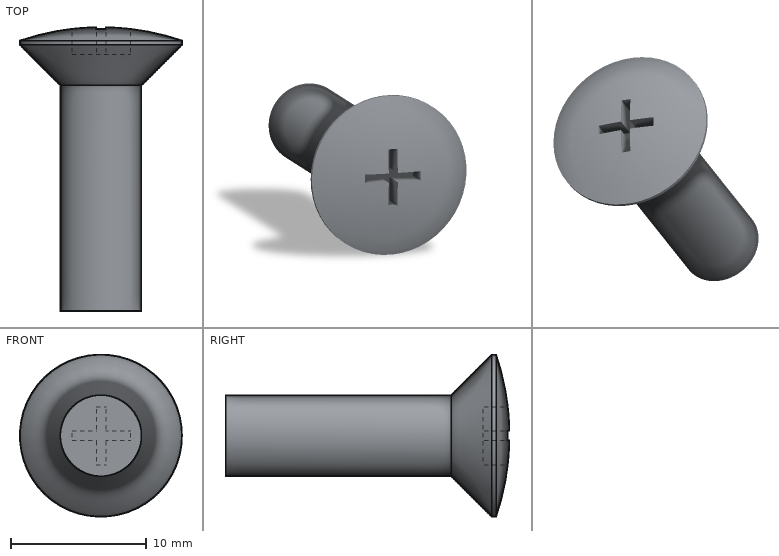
import cadquery as cq
import math

head_diameter = 12.0
shank_diameter = 6.0
length_below_dome = 20.0
rim_thickness = 0.3
dome_height = 1.0

recess_arm_width = 0.7
recess_span = 4.3
recess_depth = 2.0

head_radius = head_diameter / 2
shank_radius = shank_diameter / 2
cone_height = head_radius - shank_radius
cone_bottom_y = -rim_thickness - cone_height
dome_radius = (head_radius**2 + dome_height**2) / (2 * dome_height)


def dome_point_at_radius(radius):
    """Point of the spherical dome profile at a distance from the screw axis."""
    sphere_centre_y = dome_height - dome_radius
    return radius, sphere_centre_y + math.sqrt(dome_radius**2 - radius**2)


def make_screw_body():
    """Shank, countersunk cone, rim and dome revolved about the Y axis."""
    profile = (
        cq.Workplane("XY")
        .moveTo(0, -length_below_dome)
        .lineTo(shank_radius, -length_below_dome)
        .lineTo(shank_radius, cone_bottom_y)
        .lineTo(head_radius, -rim_thickness)
        .lineTo(head_radius, 0)
        .threePointArc(dome_point_at_radius(head_radius / 2), (0, dome_height))
        .close()
    )
    return profile.revolve(360, (0, 0, 0), (0, 1, 0))


def make_cross_recess():
    """Two crossing bars, along X and Z, reaching from the dome apex down to the recess floor."""
    bar_along_x = cq.Workplane("XY").box(recess_span, recess_depth, recess_arm_width)
    bar_along_z = cq.Workplane("XY").box(recess_arm_width, recess_depth, recess_span)
    bar_centre_y = dome_height - recess_depth / 2
    return bar_along_x.union(bar_along_z).translate((0, bar_centre_y, 0))


result = make_screw_body().cut(make_cross_recess())